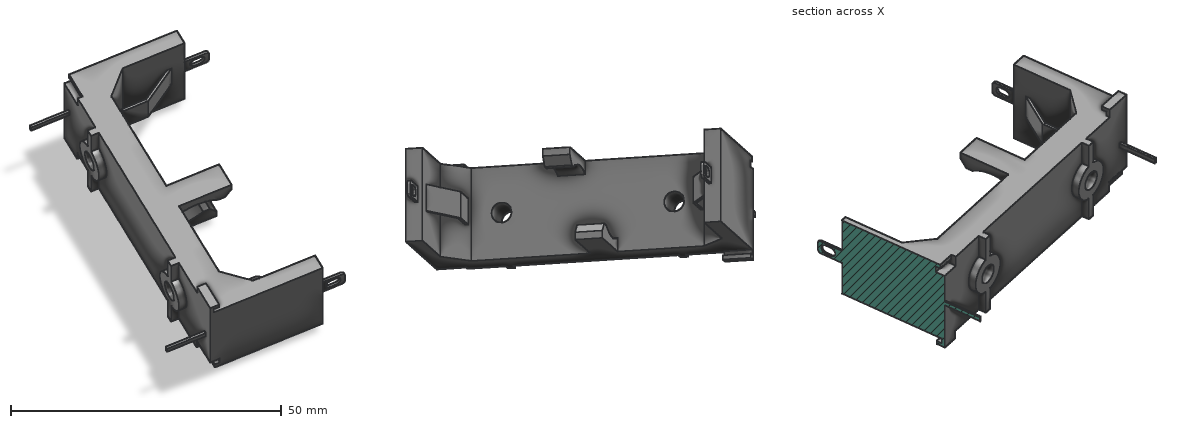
import cadquery as cq
import math

length = 60.32
height = 17.7
wall_top = 23.3
wall_thickness = 3.2
base_thickness = 5.8
corner_chamfer = 4.7

boss_offset = 16.53
boss_radius = 3.95
boss_height = 1.6
rib_width = 1.4
hole_radius = 1.9

hook_length = 5.4
hook_rise = 1.8
hook_depth = 1.85
hook_thickness = 0.8
notch_length = 5.6
notch_mouth_depth = 1.0
notch_mouth_height = 1.0
notch_depth = 2.0
notch_height = 2.2

finger_width = 5.2
finger_gap = 1.0
finger_top = 16.7
finger_tip_thickness = 1.4
finger_nose_thickness = 3.1
finger_slope_length = 1.4
finger_nose_length = 1.4
cradle_radius = 8.5
cradle_axis_y = 9.4

terminal_thickness = 0.55
terminal_offset = 28.1
pin_length = 8.0
pin_width = 1.0
overall_depth = 36.83
lug_end = overall_depth - pin_length
lug_width = 3.0
lug_corner = 0.8
lug_slot_length = 3.0
lug_slot_width = 1.85
lug_slot_margin = 0.95
spring_width = 5.0
spring_root_y = 19.6
spring_bend_y = 13.3
spring_end_y = 8.15
spring_reach = 4.15

half_length = length / 2
half_height = height / 2
wall_inner = half_length - wall_thickness


def box(x_range, y_range, z_range):
    """Box spanning the given (min, max) ranges."""
    size = [high - low for low, high in (x_range, y_range, z_range)]
    corner = (x_range[0], y_range[0], z_range[0])
    return cq.Workplane("XY").box(*size, centered=False).translate(corner)


def half_turn(shape):
    """Copy of a shape turned half way round the Y axis."""
    return shape.rotate((0, 0, 0), (0, 1, 0), 180)


def make_body():
    floor_inner = wall_inner - corner_chamfer
    wall_inner_start = base_thickness + corner_chamfer
    outline = [
        (-half_length, 0),
        (half_length, 0),
        (half_length, wall_top),
        (wall_inner, wall_top),
        (wall_inner, wall_inner_start),
        (floor_inner, base_thickness),
        (-floor_inner, base_thickness),
        (-wall_inner, wall_inner_start),
        (-wall_inner, wall_top),
        (-half_length, wall_top),
    ]
    return cq.Workplane("XY").polyline(outline).close().extrude(half_height, both=True)


def y_cylinder(x, radius, y_start, y_end):
    """Cylinder along Y, centred on Z = 0."""
    plane = cq.Workplane("XZ", origin=(x, y_start, 0))
    return plane.circle(radius).extrude(y_start - y_end)


def make_standoff(x):
    """Round boss with a rib that runs over the full height of the base."""
    boss = y_cylinder(x, boss_radius, -boss_height, base_thickness)
    half_rib = rib_width / 2
    rib = box((x - half_rib, x + half_rib), (-boss_height, base_thickness), (-half_height, half_height))
    return boss.union(rib)


def make_hook():
    """L-shaped hook standing above the +X end of the base."""
    x_range = (half_length - hook_length, half_length)
    hook_top = half_height + hook_rise
    plate = box(x_range, (0, hook_thickness), (0, hook_top))
    lip = box(x_range, (0, hook_depth), (hook_top - hook_thickness, hook_top))
    return plate.union(lip)


def make_notch():
    """L-shaped cutter at the upper edge of the -X end of the base."""
    x_range = (-half_length, -half_length + notch_length)
    mouth = box(x_range, (0, notch_mouth_depth), (half_height - notch_mouth_height, half_height))
    pocket = box(
        x_range,
        (0, notch_depth),
        (half_height - notch_height, half_height - notch_mouth_height),
    )
    return mouth.union(pocket)


def make_finger():
    """Upper finger, with a concave underside that follows the round battery."""
    nose_z = half_height - finger_nose_thickness
    nose_outer_y = finger_top - finger_slope_length
    nose_inner_y = nose_outer_y - finger_nose_length
    nose_run = nose_inner_y - cradle_axis_y
    root_run = cradle_axis_y - base_thickness
    cradle_axis_z = nose_z - math.sqrt(cradle_radius**2 - nose_run**2)
    root_z = cradle_axis_z + math.sqrt(cradle_radius**2 - root_run**2)
    profile = (
        cq.Workplane("YZ", origin=(finger_gap / 2, 0, 0))
        .moveTo(0, half_height)
        .lineTo(finger_top, half_height)
        .lineTo(finger_top, half_height - finger_tip_thickness)
        .lineTo(nose_outer_y, nose_z)
        .lineTo(nose_inner_y, nose_z)
        .threePointArc((cradle_axis_y, cradle_axis_z + cradle_radius), (base_thickness, root_z))
        .lineTo(0, root_z)
        .close()
    )
    return profile.extrude(finger_width)


def make_lug(x_range):
    """Solder lug with rounded corners and a slotted eye."""
    half_width = lug_width / 2
    lug = box(x_range, (base_thickness, lug_end), (-half_width, half_width))
    lug = lug.edges(">Y and |X").fillet(lug_corner)
    eye_y = lug_end - lug_slot_margin - lug_slot_length / 2
    eye = (
        cq.Workplane("YZ", origin=(x_range[0], eye_y, 0))
        .slot2D(lug_slot_length, lug_slot_width)
        .extrude(terminal_thickness)
    )
    return lug.cut(eye)


def make_spring():
    """Bent contact leaf on the inner face of the +X wall."""
    tip_wall_side = wall_inner - spring_reach
    tip_far_side = tip_wall_side - terminal_thickness
    slope = (spring_root_y - spring_bend_y) / spring_reach
    root_x = wall_inner + wall_thickness / 2
    root_y = spring_root_y + slope * wall_thickness / 2
    slant_shift = terminal_thickness * math.hypot(1, slope) / slope
    far_bend_y = spring_bend_y + (slant_shift - terminal_thickness) * slope
    outline = [
        (tip_wall_side, spring_end_y),
        (tip_wall_side, spring_bend_y),
        (root_x, root_y),
        (root_x - slant_shift, root_y),
        (tip_far_side, far_bend_y),
        (tip_far_side, spring_end_y),
    ]
    return cq.Workplane("XY").polyline(outline).close().extrude(spring_width / 2, both=True)


def make_terminal():
    """Pin, solder lug and contact leaf of the +X terminal."""
    half_thickness = terminal_thickness / 2
    x_range = (terminal_offset - half_thickness, terminal_offset + half_thickness)
    pin = box(x_range, (-pin_length, base_thickness), (-pin_width / 2, pin_width / 2))
    return pin.union(make_lug(x_range)).union(make_spring())


result = make_body()

for notch in (make_notch(), half_turn(make_notch())):
    result = result.cut(notch)

for feature in (make_hook(), make_finger(), make_terminal()):
    result = result.union(feature).union(half_turn(feature))

for boss_x in (-boss_offset, boss_offset):
    result = result.union(make_standoff(boss_x))
    result = result.cut(y_cylinder(boss_x, hole_radius, -boss_height, base_thickness))